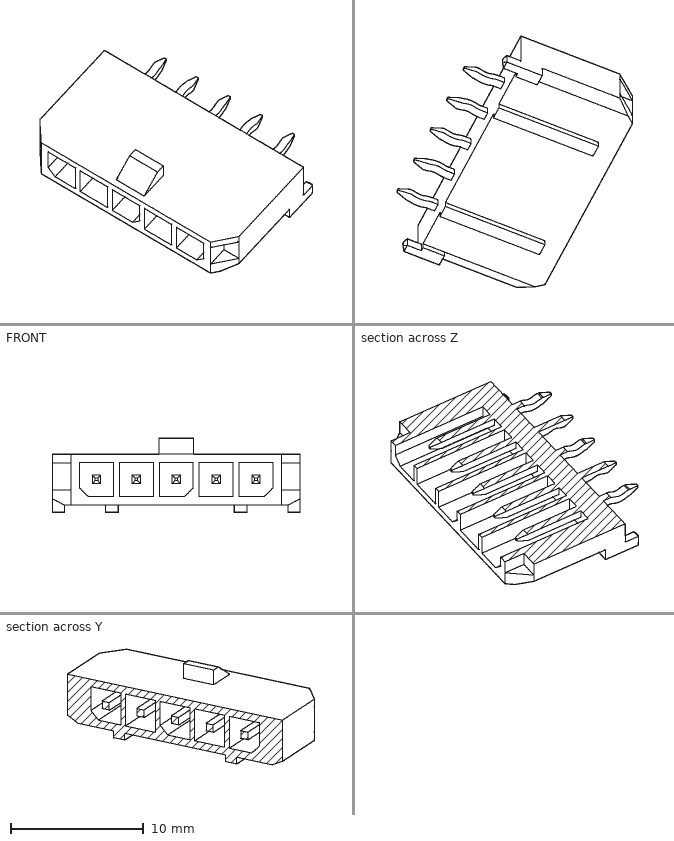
import cadquery as cq
import math


WIDTH = 18.64
DEPTH = 9.88
HEIGHT = 3.84
OVERALL_DEPTH = 13.09
HALF_WIDTH = WIDTH / 2

CORNER_X = 1.4
CORNER_Y = 1.7
NOTCH_TOP_WALL = 0.67
NOTCH_BOTTOM_WALL = 1.14

FOOT_WIDTH = 0.91
FOOT_DROP = 0.54
FOOT_FRONT = 8.1
EDGE_SLOPE_HEIGHT = 0.48

PEG_WIDTH = 0.62
PEG_HEIGHT = 0.91
PEG_SHOULDER = 11.03
PEG_END = 11.28

RAIL_WIDTH = 0.99
RAIL_OFFSET = 4.85
RAIL_FRONT = 1.64

LATCH_WIDTH = 2.61
LATCH_HEIGHT = 1.2
LATCH_FRONT = 0.54
LATCH_CREST = 2.24
LATCH_BACK = 2.96

PITCH = 3.0
CAVITY_SIZE = 2.55
CAVITY_DEPTH = 7.83
KEY_SIZE = 0.65
CAVITY_KEYS = ["left", None, "right", None, "right"]

PIN_SIZE = 0.63
PIN_FRONT = 2.24
PIN_TAPER = 0.88
PIN_TIP = 0.2
PIN_Z = HEIGHT / 2 + 0.02
KINK_START = 10.42
KINK_END = OVERALL_DEPTH - PIN_TAPER
KINK_RISE = 0.2
KINK_CREST_RADIUS = 1.1


def box(x_min, x_max, y_min, y_max, z_min, z_max):
    """Return a box between the given limits."""
    size_x, size_y, size_z = x_max - x_min, y_max - y_min, z_max - z_min
    return cq.Workplane("XY").box(size_x, size_y, size_z, centered=False).translate((x_min, y_min, z_min))


def both_sides(left_part):
    """Return the part together with its mirror image in X."""
    return left_part.union(left_part.mirror("YZ"))


def pin_tip(x, y_base, y_tip):
    """Return a blunt pyramid closing one end of the pin at x."""
    return (
        cq.Workplane("XZ", origin=(x, y_base, PIN_Z))
        .rect(PIN_SIZE, PIN_SIZE)
        .workplane(offset=y_base - y_tip)
        .rect(PIN_TIP, PIN_TIP)
        .loft(ruled=True)
    )


def make_housing():
    housing = box(-HALF_WIDTH, HALF_WIDTH, 0, DEPTH, 0, HEIGHT)
    bevel = (
        cq.Workplane("XY")
        .polyline([(-HALF_WIDTH, 0), (-HALF_WIDTH + CORNER_X, 0), (-HALF_WIDTH, CORNER_Y)])
        .close()
        .extrude(HEIGHT)
    )
    notch = box(
        -HALF_WIDTH, -HALF_WIDTH + CORNER_X, 0, CORNER_Y, NOTCH_BOTTOM_WALL, HEIGHT - NOTCH_TOP_WALL
    )
    edge_slope = (
        cq.Workplane("XZ")
        .polyline([(-HALF_WIDTH, 0), (-HALF_WIDTH + FOOT_WIDTH, 0), (-HALF_WIDTH, EDGE_SLOPE_HEIGHT)])
        .close()
        .extrude(-FOOT_FRONT)
    )
    return housing.cut(both_sides(bevel.union(notch).union(edge_slope)))


def make_peg():
    """Return the left peg: pointed in plan and rounded at the end in side profile."""
    left = -HALF_WIDTH
    right = left + PEG_WIDTH
    bottom = -FOOT_DROP
    top = bottom + PEG_HEIGHT
    plan = (
        cq.Workplane("XY", origin=(0, 0, bottom))
        .moveTo(left, FOOT_FRONT)
        .lineTo(right, FOOT_FRONT)
        .lineTo(right, PEG_SHOULDER)
        .lineTo((left + right) / 2, PEG_END)
        .lineTo(left, PEG_SHOULDER)
        .close()
        .extrude(PEG_HEIGHT)
    )
    profile = (
        cq.Workplane("YZ", origin=(left, 0, 0))
        .moveTo(FOOT_FRONT, bottom)
        .lineTo(PEG_SHOULDER, bottom)
        .threePointArc((PEG_END, (bottom + top) / 2), (PEG_SHOULDER, top))
        .lineTo(FOOT_FRONT, top)
        .close()
        .extrude(PEG_WIDTH)
    )
    return plan.intersect(profile)


def make_foot():
    """Return the left foot, which fills the sloped edge up to the full housing section."""
    return box(-HALF_WIDTH, -HALF_WIDTH + FOOT_WIDTH, FOOT_FRONT, DEPTH, -FOOT_DROP, EDGE_SLOPE_HEIGHT)


def make_rail():
    """Return the left rail, which runs to the back of the housing."""
    rail_left = -RAIL_OFFSET - RAIL_WIDTH / 2
    return box(rail_left, rail_left + RAIL_WIDTH, RAIL_FRONT, DEPTH, -FOOT_DROP, EDGE_SLOPE_HEIGHT)


def make_latch():
    latch_top = HEIGHT + LATCH_HEIGHT
    return (
        cq.Workplane("YZ")
        .polyline([
            (LATCH_FRONT, HEIGHT), (LATCH_CREST, latch_top), (LATCH_BACK, latch_top), (LATCH_BACK, HEIGHT)
        ])
        .close()
        .extrude(LATCH_WIDTH / 2, both=True)
    )


def make_cavity(x, key):
    cavity = box(
        x - CAVITY_SIZE / 2, x + CAVITY_SIZE / 2,
        0, CAVITY_DEPTH,
        (HEIGHT - CAVITY_SIZE) / 2, (HEIGHT + CAVITY_SIZE) / 2,
    )
    if key is None:
        return cavity
    side = "<X" if key == "left" else ">X"
    return cavity.edges("|Y").edges("<Z").edges(side).chamfer(KEY_SIZE)


def make_kink(x, direction):
    """Return the kinked stretch of a pin; direction is 1 for upwards and -1 for downwards.

    The centre line is an S-curve followed by its mirror image. Its end arcs and its crest
    all turn through the same angle, and the faces are offset by half the pin size.
    """
    half_length = (KINK_END - KINK_START) / 2
    radius_sum = (half_length**2 + KINK_RISE**2) / (2 * KINK_RISE)
    end_radius = radius_sum - KINK_CREST_RADIUS
    turn = math.asin(half_length / radius_sum)
    middle = (KINK_START + KINK_END) / 2
    crest_centre_height = KINK_RISE - KINK_CREST_RADIUS

    def on_end_arc(end, angle, offset):
        arc_radius = end_radius - offset
        inward = math.copysign(1, middle - end)
        y = end + inward * arc_radius * math.sin(angle)
        return y, PIN_Z + direction * (end_radius - arc_radius * math.cos(angle))

    def on_crest(angle, offset):
        arc_radius = KINK_CREST_RADIUS + offset
        y = middle + arc_radius * math.sin(angle)
        return y, PIN_Z + direction * (crest_centre_height + arc_radius * math.cos(angle))

    outer = PIN_SIZE / 2
    inner = -PIN_SIZE / 2
    return (
        cq.Workplane("YZ", origin=(x, 0, 0))
        .moveTo(*on_end_arc(KINK_START, 0, outer))
        .threePointArc(on_end_arc(KINK_START, turn / 2, outer), on_end_arc(KINK_START, turn, outer))
        .threePointArc(on_crest(0, outer), on_crest(turn, outer))
        .threePointArc(on_end_arc(KINK_END, turn / 2, outer), on_end_arc(KINK_END, 0, outer))
        .lineTo(*on_end_arc(KINK_END, 0, inner))
        .threePointArc(on_end_arc(KINK_END, turn / 2, inner), on_end_arc(KINK_END, turn, inner))
        .threePointArc(on_crest(0, inner), on_crest(-turn, inner))
        .threePointArc(on_end_arc(KINK_START, turn / 2, inner), on_end_arc(KINK_START, 0, inner))
        .close()
        .extrude(PIN_SIZE / 2, both=True)
    )


def make_pin(x, kink_direction):
    half = PIN_SIZE / 2
    shank_front = PIN_FRONT + PIN_TAPER
    shank = box(x - half, x + half, shank_front, KINK_START, PIN_Z - half, PIN_Z + half)
    front_tip = pin_tip(x, shank_front, PIN_FRONT)
    tail_tip = pin_tip(x, KINK_END, OVERALL_DEPTH)
    return shank.union(front_tip).union(make_kink(x, kink_direction)).union(tail_tip)


mount = make_foot().union(make_peg()).union(make_rail())
result = make_housing().union(make_latch()).union(both_sides(mount))

first_pin_x = -PITCH * (len(CAVITY_KEYS) - 1) / 2
for index, cavity_key in enumerate(CAVITY_KEYS):
    pin_x = first_pin_x + index * PITCH
    result = result.cut(make_cavity(pin_x, cavity_key))
    kink = -1 if index % 2 == 0 else 1
    result = result.union(make_pin(pin_x, kink))